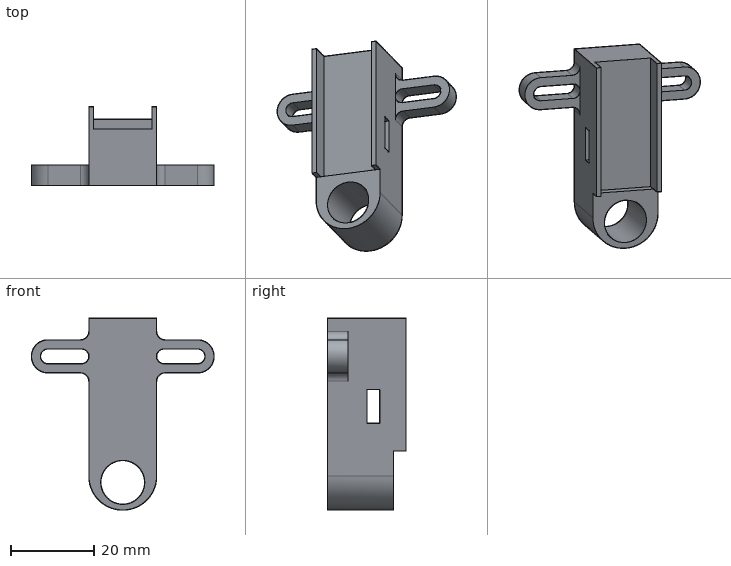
import cadquery as cq

height = 46.2
body_width = 16.35
full_depth = 19.0
lower_depth = 16.0
step_height = 14.25
end_radius = body_width / 2

bore_diameter = 10.5
bore_height = 6.7

wall_thickness = 1.2
channel_floor_y = 13.6

ear_span = 44.0
ear_thickness = 5.0
ear_width = 8.0
ear_height = 37.0
ear_fillet = 2.0
slot_width = 3.5

window_front_y = 9.6
window_depth = 2.95
window_bottom = 20.97
window_height = 8.05


def box(width, y_start, depth, z_start, tall):
    """Box centred on X, placed by its front and bottom faces."""
    return cq.Workplane("XY").box(width, depth, tall, centered=(True, False, False)).translate(
        (0, y_start, z_start)
    )


def front_plane(x, z):
    """XZ workplane on the front face; negative extrusion goes into the part."""
    return cq.Workplane("XZ").center(x, z)


def make_body():
    lower = box(body_width, 0, lower_depth, end_radius, height - end_radius)
    round_end = front_plane(0, end_radius).circle(end_radius).extrude(-lower_depth)
    back = box(body_width, lower_depth, full_depth - lower_depth, step_height, height - step_height)
    return lower.union(round_end).union(back)


def add_ears(body):
    ears = front_plane(0, ear_height).slot2D(ear_span, ear_width).extrude(-ear_thickness)
    corner_x = body_width / 2 + ear_fillet
    corner_z = ear_width / 2 + ear_fillet
    webs = box(2 * corner_x, 0, ear_thickness, ear_height - corner_z, 2 * corner_z)
    corners = [(sx * corner_x, sz * corner_z) for sx in (-1, 1) for sz in (-1, 1)]
    rounds = front_plane(0, ear_height).pushPoints(corners).circle(ear_fillet).extrude(-ear_thickness)
    return body.union(ears).union(webs.cut(rounds))


def cut_ear_slots(body):
    slot_inner = body_width / 2
    slot_outer = ear_span / 2 - (ear_width - slot_width) / 2
    slot_centre = (slot_inner + slot_outer) / 2
    slots = (
        front_plane(0, ear_height)
        .pushPoints([(-slot_centre, 0), (slot_centre, 0)])
        .slot2D(slot_outer - slot_inner, slot_width)
        .extrude(-ear_thickness)
    )
    return body.cut(slots)


channel = box(
    body_width - 2 * wall_thickness,
    channel_floor_y,
    full_depth - channel_floor_y,
    step_height,
    height - step_height,
)
bore = front_plane(0, bore_height).circle(bore_diameter / 2).extrude(-lower_depth)
window = box(body_width, window_front_y, window_depth, window_bottom, window_height)

result = cut_ear_slots(add_ears(make_body())).cut(channel).cut(bore).cut(window)